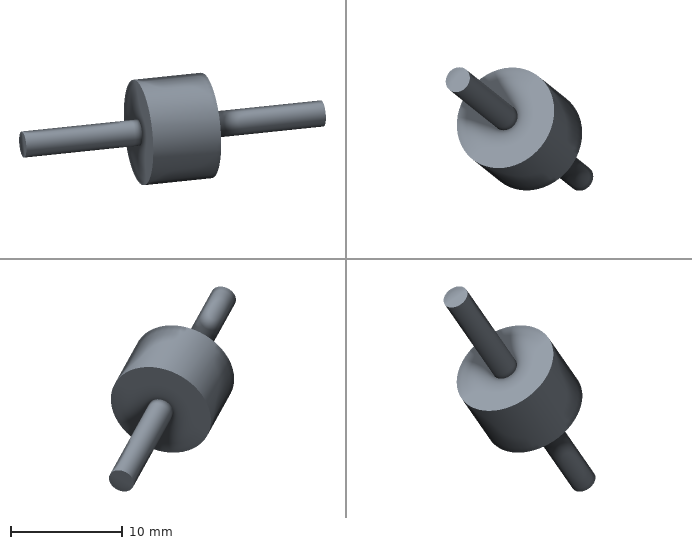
import cadquery as cq

body_diameter = 9.525
body_length = 6.35
shaft_diameter = 2.36
shaft_length = 28.0


def cylinder_along_y(diameter, length):
    """Solid cylinder on the Y axis, centred on the origin."""
    end_plane = cq.Workplane("XZ", origin=(0, length / 2, 0))
    return end_plane.circle(diameter / 2).extrude(length)


body = cylinder_along_y(body_diameter, body_length)
shaft = cylinder_along_y(shaft_diameter, shaft_length)

result = body.union(shaft)